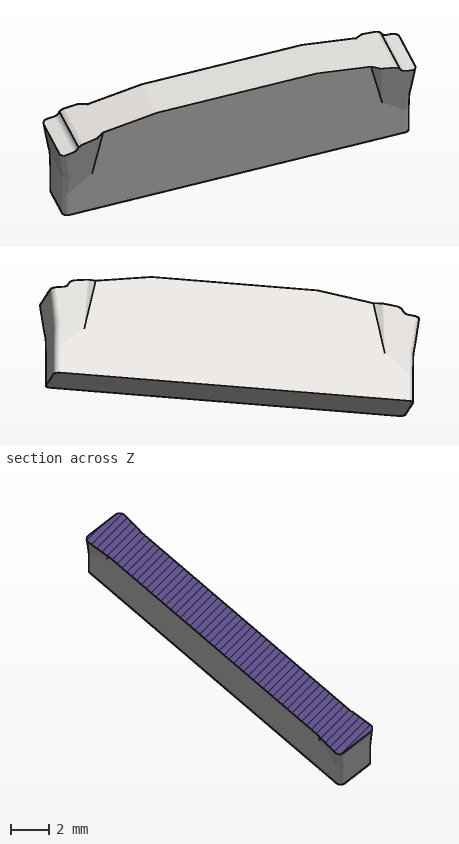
import cadquery as cq

half_length = 9.94
height = 5.79
body_half_width = 1.17
head_width = 3.0
head_half_width = head_width / 2

flat_top_half_length = 4.47
ramp_end = (8.7, 5.13)
step_edge = (8.97, 4.99)
land_start = (9.32, 4.71)
step_hollow = (9.1, 4.8)
step_crest = (8.85, 5.07)
tip_height = 4.61
relief_bottom = (9.75, 3.06)
relief_bend = (9.7, 2.82)
base_half_length = 9.68
base_top_height = 2.58

head_corner = (8.1, 2.58)
flank_foot = (9.4, 1.57)
back_top = (7.47, 5.33)
ridge_top = (7.93, 5.25)
widest_point = (9.65, 4.65)
cone_reach = 5.0
ridge_radius = 0.6
end_corner_radius = 0.3
margin = 0.04


def make_profile(half_width):
    """Half of the side profile, from the middle to the +Y tip, extruded across X."""
    return (
        cq.Workplane("YZ", origin=(-half_width, 0, 0))
        .moveTo(0, 0)
        .lineTo(base_half_length, 0)
        .lineTo(base_half_length, base_top_height)
        .threePointArc(relief_bend, relief_bottom)
        .lineTo(half_length, tip_height)
        .lineTo(*land_start)
        .threePointArc(step_hollow, step_edge)
        .threePointArc(step_crest, ramp_end)
        .lineTo(flat_top_half_length, height)
        .lineTo(0, height)
        .close()
        .extrude(2 * half_width)
    )


def flank_half_width(y, z):
    """Half width of the sloping flank, a plane through its foot line and widest point."""
    foot_y, foot_z = flank_foot
    run = head_corner[0] - foot_y
    rise = head_corner[1] - foot_z

    def offset(point_y, point_z):
        return run * (point_z - foot_z) - rise * (point_y - foot_y)

    slope = (head_half_width - body_half_width) / offset(*widest_point)
    return body_half_width + slope * offset(y, z)


def make_head_side():
    """Cone-shaped bulge on the +X side, with its rounded ridge fading out at the corner."""
    apex = cq.Vector(body_half_width, *head_corner)
    ridge = cq.Vector(flank_half_width(*ridge_top), *ridge_top)
    foot = cq.Vector(body_half_width, *flank_foot)
    back = cq.Vector(body_half_width, *back_top)
    corners = [apex + (point - apex) * cone_reach for point in (foot, ridge, back)]
    base = cq.Wire.makePolygon(corners, close=True)
    ridge_vertex = min(base.Vertices(), key=lambda v: (v.Center() - corners[1]).Length)
    base = base.fillet2D(ridge_radius, [ridge_vertex])
    tip = cq.Vertex.makeVertex(*apex.toTuple())
    return cq.Workplane(cq.occ_impl.shapes.loft(base, tip, cap=True, ruled=True))


def upright_edges(side):
    """Selector for the upright end edges on one side: +1 for +X, -1 for -X."""
    return cq.selectors.BoxSelector(
        (side * (body_half_width - margin), base_half_length - margin, -margin),
        (side * (head_half_width + margin), half_length + margin, height),
    )


def make_half():
    head_side = make_head_side().intersect(make_profile(2 * head_half_width))
    half = make_profile(body_half_width).union(head_side).union(head_side.mirror("YZ"))
    corner_edges = upright_edges(1) + upright_edges(-1)
    return half.edges(corner_edges).fillet(end_corner_radius)


half = make_half()
result = half.union(half.mirror("XZ"))